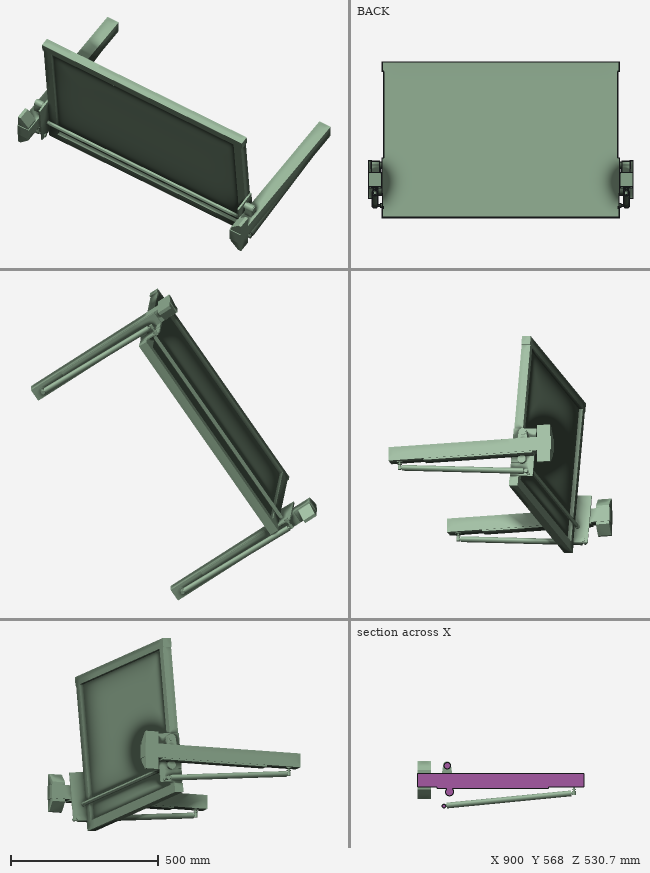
import cadquery as cq
import math

overall_width = 900.0
half_width = overall_width / 2

arm_length = 568.0
arm_width = 45.0
arm_height = 48.0
arm_outer_x = -half_width
arm_inner_x = arm_outer_x + arm_width

head_front_y = 3.0
head_length = 46.0
head_height = 130.0
head_width = 42.0
head_bevel = 31.5

strip_front_y = 66.0
strip_rear_y = 446.0
strip_thickness = 5.0
strip_inset = 2.0

tilt_deg = 5.0
frame_height = 530.0
frame_width = 806.0
rail_depth = 31.0
rail_height = 31.0
stile_inset = 5.0
stile_width = 30.0
panel_recess = 13.5
frame_rear_y = 158.0
frame_bottom_z = -128.0

plate_bottom = 36.0
plate_top = 202.5
plate_depth = 80.0
plate_thickness = 4.5
cover_bottom = 81.0
cover_thickness = 2.0

pivot_forward = 40.5
upper_pivot_up = 181.0
lower_pivot_up = 92.0
upper_boss_radius = 13.5
upper_boss_length = 27.0
upper_boss_outer_x = -438.0
upper_pin_radius = 12.0
upper_pin_overhang = 3.0
bracket_width = 34.0
lower_boss_radius = 14.0
lower_boss_length = 13.5
cross_rod_sides = 6
cross_rod_radius = 7.0
collar_radius = 7.0
collar_length = 9.0

spring_x = -427.5
spring_radius = 10.0
spring_front = (101.0, -87.0)
spring_rear = (524.0, -46.0)
neck_radius = 4.5
eye_radius = 6.0
eye_length = 13.5
eye_reach = 10.0
stud_radius = 4.0
stud_boss_radius = 7.0
stud_boss_overhang = 4.5
stud_flange_thickness = 3.0
collar_top_z = -31.5
arm_flange_radius = 11.0

stile_outer_x = -frame_width / 2 + stile_inset
plate_outer_x = stile_outer_x - plate_thickness
cover_outer_x = plate_outer_x - cover_thickness


def box(x_range, y_range, z_range):
    """Box given by its limits along each axis."""
    (x0, x1), (y0, y1), (z0, z1) = x_range, y_range, z_range
    return cq.Workplane("XY").box(x1 - x0, y1 - y0, z1 - z0, centered=False).translate((x0, y0, z0))


def rod(start, end, radius):
    """Round rod between two points."""
    axis = cq.Vector(*end) - cq.Vector(*start)
    return cq.Workplane(cq.Solid.makeCylinder(radius, axis.Length, cq.Vector(*start), axis))


def rod_along_x(x0, x1, place, radius):
    """Round rod parallel to X through a (Y, Z) place."""
    return rod((x0, *place), (x1, *place), radius)


def tilt(body):
    """Lean a body built upright at the frame's rear bottom edge and put it in place."""
    leaned = body.rotate((0, 0, 0), (1, 0, 0), tilt_deg)
    return leaned.translate((0, frame_rear_y, frame_bottom_z))


def tilted_place(forward, up):
    """(Y, Z) of a place measured forward and up along the tilted frame."""
    angle = math.radians(tilt_deg)
    y = frame_rear_y - forward * math.cos(angle) - up * math.sin(angle)
    z = frame_bottom_z - forward * math.sin(angle) + up * math.cos(angle)
    return y, z


def make_frame():
    """Rails, stiles and recessed panel."""
    half = frame_width / 2
    bottom_rail = box((-half, half), (-rail_depth, 0), (0, rail_height))
    top_rail = bottom_rail.translate((0, 0, frame_height - rail_height))
    stile_heights = (rail_height, frame_height - rail_height)
    left_stile = box((stile_outer_x, stile_outer_x + stile_width), (-rail_depth, 0), stile_heights)
    panel = box((stile_outer_x, -stile_outer_x), (panel_recess - rail_depth, 0), stile_heights)
    frame = bottom_rail.union(top_rail).union(panel)
    frame = frame.union(left_stile).union(left_stile.mirror("YZ"))
    return tilt(frame)


def make_arm():
    """Arm with its crosshead and slide strip."""
    half_height = arm_height / 2
    beam = box((arm_outer_x, arm_inner_x), (0, arm_length), (-half_height, half_height))
    head = box(
        (arm_outer_x, arm_outer_x + head_width),
        (head_front_y, head_front_y + head_length),
        (-head_height / 2, head_height / 2),
    )
    head = head.edges("|Y and >X").chamfer(head_bevel)
    strip = box(
        (arm_outer_x + strip_inset, arm_inner_x - strip_inset),
        (strip_front_y, strip_rear_y),
        (-half_height - strip_thickness, -half_height),
    )
    return beam.union(head).union(strip)


def make_side_plate():
    """Side plate with the shorter cover plate on its outer face."""
    plate = box((plate_outer_x, stile_outer_x), (-plate_depth, 0), (plate_bottom, plate_top))
    cover = box((cover_outer_x, plate_outer_x), (-plate_depth, 0), (cover_bottom, plate_top))
    return tilt(plate.union(cover))


def make_upper_pivot():
    """Round boss on a bracket standing on the arm, with a pin through it into the side plate."""
    y, z = tilted_place(pivot_forward, upper_pivot_up)
    boss_inner_x = upper_boss_outer_x + upper_boss_length
    boss = rod_along_x(upper_boss_outer_x, boss_inner_x, (y, z), upper_boss_radius)
    pin = rod_along_x(upper_boss_outer_x - upper_pin_overhang, plate_outer_x, (y, z), upper_pin_radius)
    foot = bracket_width / 2
    bracket = (
        cq.Workplane("YZ")
        .polyline([
            (y - foot, arm_height / 2),
            (y + foot, arm_height / 2),
            (y + upper_boss_radius, z),
            (y - upper_boss_radius, z),
        ])
        .close()
        .extrude(upper_boss_length)
        .translate((upper_boss_outer_x, 0, 0))
    )
    return boss.union(pin).union(bracket)


def make_lower_pivot():
    """Boss outside the side plate and collar inside it."""
    place = tilted_place(pivot_forward, lower_pivot_up)
    boss = rod_along_x(cover_outer_x - lower_boss_length, cover_outer_x, place, lower_boss_radius)
    collar = rod_along_x(cover_outer_x, stile_outer_x + collar_length, place, collar_radius)
    return boss.union(collar)


def make_cross_rod():
    """Hexagonal bar joining the lower pivots in front of the panel, one flat turned to the top rail."""
    end_x = stile_outer_x + collar_length
    bar = cq.Workplane("YZ").polygon(cross_rod_sides, 2 * cross_rod_radius).extrude(-2 * end_x)
    bar = bar.rotate((0, 0, 0), (1, 0, 0), tilt_deg)
    return bar.translate((end_x, *tilted_place(pivot_forward, lower_pivot_up)))


def make_gas_spring():
    """Cylinder with an eye at each end and the studs that hold the eyes."""
    front = cq.Vector(spring_x, *spring_front)
    rear = cq.Vector(spring_x, *spring_rear)
    reach = (rear - front).normalized() * eye_reach
    front_eye = front - reach
    rear_eye = rear + reach
    spring = rod(front.toTuple(), rear.toTuple(), spring_radius)
    neck = rod(front_eye.toTuple(), rear_eye.toTuple(), neck_radius)

    place = (front_eye.y, front_eye.z)
    plate_boss_x = cover_outer_x - stud_boss_overhang
    boss_end_x = stile_outer_x + stud_boss_overhang
    half_eye = eye_length / 2
    front_joint = (
        rod_along_x(spring_x - half_eye, spring_x + half_eye, place, eye_radius)
        .union(rod_along_x(spring_x, plate_boss_x, place, stud_radius))
        .union(rod_along_x(plate_boss_x, boss_end_x, place, stud_boss_radius))
    )

    arm_bottom = -arm_height / 2
    y, z = rear_eye.y, rear_eye.z
    stages = (
        (z - half_eye, z + half_eye, eye_radius),
        (z, arm_bottom, stud_radius),
        (collar_top_z - stud_flange_thickness, collar_top_z, stud_boss_radius),
        (arm_bottom - stud_flange_thickness, arm_bottom, arm_flange_radius),
    )
    rear_joint = cq.Workplane("XY")
    for bottom, top, radius in stages:
        rear_joint = rear_joint.union(rod((spring_x, y, bottom), (spring_x, y, top), radius))
    return spring.union(neck).union(front_joint).union(rear_joint)


left_side = (
    make_arm()
    .union(make_side_plate())
    .union(make_upper_pivot())
    .union(make_lower_pivot())
    .union(make_gas_spring())
)
result = make_frame().union(make_cross_rod()).union(left_side).union(left_side.mirror("YZ"))